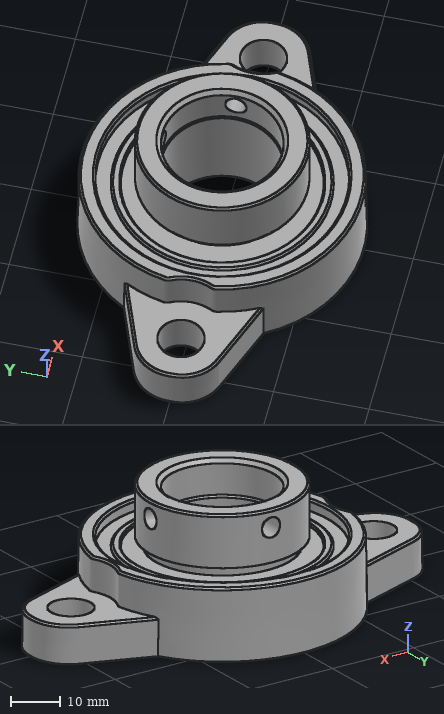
import cadquery as cq
import math

BOSS_RADIUS = 29.585
BOSS_HEIGHT = 16.1
DRAFT_ANGLE = 1.0
TOP_CHAMFER = 0.5

EAR_HEIGHT = 8.5
EAR_REACH = 47.2
EAR_END_FLAT = 0.9
EAR_END_RADIUS = 9.1
EAR_SIDE_ANGLE = 20.0
BOLT_OFFSET = 37.3
BOLT_HOLE_DIAMETER = 9.6

CLEARANCE_RADIUS = 9.6
CLEARANCE_CORNER_FILLET = 1.7

MOUTH_DIAMETER = 51.8
MOUTH_CHAMFER = 0.5
MOUTH_FLOOR = 13.6

OUTER_RING_DIAMETER = 45.5
OUTER_RING_PROUD = 0.5
OUTER_RING_TOP = MOUTH_FLOOR + OUTER_RING_PROUD
SEAL_TOP = MOUTH_FLOOR
SEAL_GROOVE_DEPTH = 0.5
SEAL_GROOVE_FLOOR = SEAL_TOP - SEAL_GROOVE_DEPTH
OUTER_GROOVE_DIAMETER = 42.0
SEAL_OUTER_DIAMETER = 41.4
SEAL_INNER_DIAMETER = 32.4
INNER_RING_DIAMETER = 31.8

COLLAR_DIAMETER = 35.7
COLLAR_BOTTOM = 15.9
COLLAR_TOP = 27.6
COLLAR_CHAMFER = 0.5
BORE_DIAMETER = 25.0
BORE_CHAMFER = 0.9
BORE_GROOVE_BOTTOM = 19.1
BORE_GROOVE_SIZE = 0.7
SET_SCREW_DIAMETER = 4.4
SET_SCREW_HEIGHT = 23.6


def ear_pair():
    """Long plate with both ears: flat ends, rounded corners and slanted sides."""
    slant = math.radians(EAR_SIDE_ANGLE)
    half_flat = EAR_END_FLAT / 2
    corner_x = EAR_REACH - EAR_END_RADIUS
    tangent_x = corner_x + EAR_END_RADIUS * math.sin(slant)
    tangent_y = half_flat + EAR_END_RADIUS * math.cos(slant)
    middle_angle = (math.pi / 2 - slant) / 2
    middle_x = corner_x + EAR_END_RADIUS * math.cos(middle_angle)
    middle_y = half_flat + EAR_END_RADIUS * math.sin(middle_angle)
    root_x = BOSS_RADIUS / 2
    root_y = tangent_y + (tangent_x - root_x) * math.tan(slant)
    outline = (
        cq.Workplane("XY")
        .moveTo(EAR_REACH, -half_flat)
        .lineTo(EAR_REACH, half_flat)
        .threePointArc((middle_x, middle_y), (tangent_x, tangent_y))
        .lineTo(root_x, root_y)
        .lineTo(-root_x, root_y)
        .lineTo(-tangent_x, tangent_y)
        .threePointArc((-middle_x, middle_y), (-EAR_REACH, half_flat))
        .lineTo(-EAR_REACH, -half_flat)
        .threePointArc((-middle_x, -middle_y), (-tangent_x, -tangent_y))
        .lineTo(-root_x, -root_y)
        .lineTo(root_x, -root_y)
        .lineTo(tangent_x, -tangent_y)
        .threePointArc((middle_x, -middle_y), (EAR_REACH, -half_flat))
        .close()
    )
    plate = outline.extrude(EAR_HEIGHT, taper=DRAFT_ANGLE)
    return plate.faces(">Z").edges().chamfer(TOP_CHAMFER)


def boss():
    """Drafted round boss, scalloped above each ear to clear the bolt head."""
    body = cq.Workplane("XY").circle(BOSS_RADIUS).extrude(BOSS_HEIGHT, taper=DRAFT_ANGLE)
    scallops = (
        cq.Workplane("XY")
        .pushPoints([(-BOLT_OFFSET, 0), (BOLT_OFFSET, 0)])
        .circle(CLEARANCE_RADIUS)
        .extrude(BOSS_HEIGHT)
    )
    body = body.cut(scallops)
    corner_box = cq.selectors.BoxSelector(
        (-BOSS_RADIUS, -CLEARANCE_RADIUS, TOP_CHAMFER),
        (BOSS_RADIUS, CLEARANCE_RADIUS, BOSS_HEIGHT - TOP_CHAMFER),
    )
    body = body.edges(corner_box).fillet(CLEARANCE_CORNER_FILLET)
    return body.faces(">Z").edges().chamfer(TOP_CHAMFER)


def make_housing():
    """Boss and ears with bolt holes, bearing seat and flared mouth around the bearing."""
    body = boss().union(ear_pair())
    bolt_holes = (
        cq.Workplane("XY")
        .pushPoints([(-BOLT_OFFSET, 0), (BOLT_OFFSET, 0)])
        .circle(BOLT_HOLE_DIAMETER / 2)
        .extrude(EAR_HEIGHT)
    )
    seat = cq.Workplane("XY").circle(OUTER_RING_DIAMETER / 2).extrude(BOSS_HEIGHT)
    mouth = (
        cq.Workplane("XY")
        .workplane(offset=MOUTH_FLOOR)
        .circle(MOUTH_DIAMETER / 2)
        .extrude(BOSS_HEIGHT - MOUTH_FLOOR)
    )
    mouth_flare = cq.Workplane(
        obj=cq.Solid.makeCone(
            MOUTH_DIAMETER / 2,
            MOUTH_DIAMETER / 2 + MOUTH_CHAMFER,
            MOUTH_CHAMFER,
            cq.Vector(0, 0, BOSS_HEIGHT - MOUTH_CHAMFER),
        )
    )
    return body.cut(bolt_holes).cut(seat).cut(mouth).cut(mouth_flare)


def bearing_blank():
    """Revolved insert; profile points are (radius, height)."""
    bore = BORE_DIAMETER / 2
    collar = COLLAR_DIAMETER / 2
    ring = OUTER_RING_DIAMETER / 2
    neck = INNER_RING_DIAMETER / 2
    profile = [
        (bore, 0),
        (ring, 0),
        (ring, MOUTH_FLOOR),
        (ring - OUTER_RING_PROUD, OUTER_RING_TOP),
        (OUTER_GROOVE_DIAMETER / 2, OUTER_RING_TOP),
        (OUTER_GROOVE_DIAMETER / 2, SEAL_GROOVE_FLOOR),
        (SEAL_OUTER_DIAMETER / 2, SEAL_GROOVE_FLOOR),
        (SEAL_OUTER_DIAMETER / 2, SEAL_TOP),
        (SEAL_INNER_DIAMETER / 2, SEAL_TOP),
        (SEAL_INNER_DIAMETER / 2, SEAL_GROOVE_FLOOR),
        (neck, SEAL_GROOVE_FLOOR),
        (neck, COLLAR_BOTTOM),
        (collar, COLLAR_BOTTOM),
        (collar, COLLAR_TOP - COLLAR_CHAMFER),
        (collar - COLLAR_CHAMFER, COLLAR_TOP),
        (bore + BORE_CHAMFER, COLLAR_TOP),
        (bore, COLLAR_TOP - BORE_CHAMFER),
        (bore, BORE_GROOVE_BOTTOM + BORE_GROOVE_SIZE),
        (bore + BORE_GROOVE_SIZE, BORE_GROOVE_BOTTOM + BORE_GROOVE_SIZE),
        (bore, BORE_GROOVE_BOTTOM),
    ]
    return cq.Workplane("XZ").polyline(profile).close().revolve(360, (0, 0), (0, 1))


def make_bearing():
    """Bearing insert with set-screw holes in its collar."""
    body = bearing_blank()
    for axis in ((1, 0, 0), (0, 1, 0)):
        hole = cq.Solid.makeCylinder(
            SET_SCREW_DIAMETER / 2,
            COLLAR_DIAMETER / 2,
            cq.Vector(0, 0, SET_SCREW_HEIGHT),
            cq.Vector(*axis),
        )
        body = body.cut(cq.Workplane(obj=hole))
    return body


housing = make_housing()
bearing = make_bearing()

result = cq.Compound.makeCompound([housing.val(), bearing.val()])